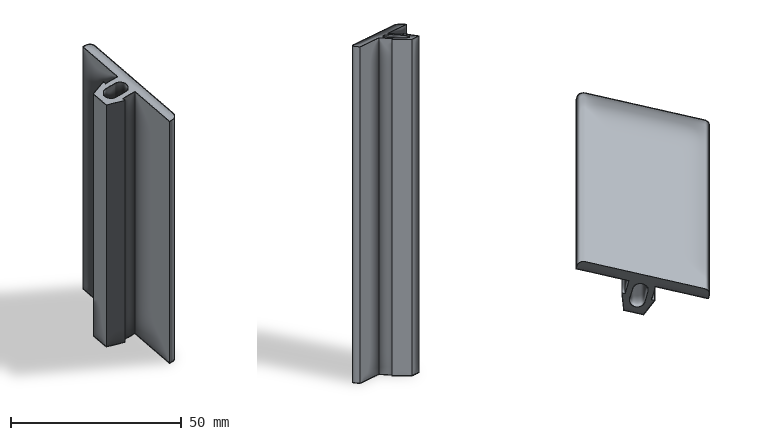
import cadquery as cq

length = 100.0
plate_width = 40.0
total_depth = 13.0
plate_thickness = 3.0
edge_radius = 2.0

stem_width = 8.0
barb_width = 10.0
tip_width = 6.0
barb_depth = 5.5

slot_width = 4.6
slot_length = 8.0

plate_back = total_depth / 2
plate_front = plate_back - plate_thickness
tip_y = -total_depth / 2
barb_y = tip_y + barb_depth

plate = (
    cq.Workplane("XY")
    .box(plate_width, plate_thickness, length)
    .translate((0, plate_back - plate_thickness / 2, 0))
    .edges("|Z and >Y")
    .fillet(edge_radius)
)

stem = (
    cq.Workplane("XY", origin=(0, 0, -length / 2))
    .moveTo(-stem_width / 2, plate_front)
    .lineTo(-stem_width / 2, barb_y)
    .lineTo(-barb_width / 2, barb_y)
    .lineTo(-tip_width / 2, tip_y)
    .lineTo(tip_width / 2, tip_y)
    .lineTo(barb_width / 2, barb_y)
    .lineTo(stem_width / 2, barb_y)
    .lineTo(stem_width / 2, plate_front)
    .close()
    .extrude(length)
)

slot = (
    cq.Workplane("XY", origin=(0, plate_front - slot_length / 2, -length / 2))
    .slot2D(slot_length, slot_width, 90)
    .extrude(length)
)

result = plate.union(stem).cut(slot)